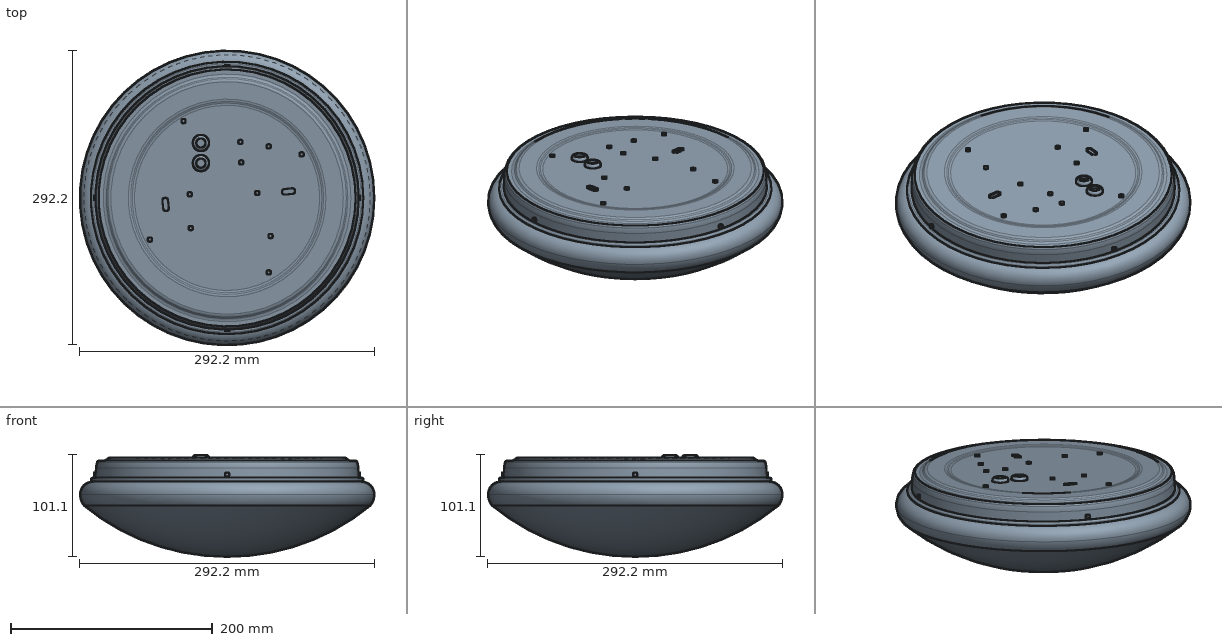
import cadquery as cq
import math


diffuser_top = 51.0
trim_widest = 61.7
base_level = 74.7
seal_height = 3.8
wall_bend_level = 88.1
wall_top = 93.5
rim_level = 95.4
land_level = 98.6
panel_level = 97.57

trim_radius = 146.09
trim_round = base_level - trim_widest
diffuser_radius = 142.0

wall_base_radius = 130.8
wall_bend_radius = 130.2
wall_top_radius = 129.2
rim_radius = 127.4

outer_step_radius = 119.0
outer_step_run = 3.05
outer_step_slope = 38.0
inner_step_radius = 94.9
inner_step_run = 2.3
inner_step_slope = 15.0

seal_radius = 135.1

stud_diameter = 4.4
stud_height = 1.0
stud_positions = [
    (-43.2, 76.2),
    (13.2, 55.5),
    (41.3, 51.1),
    (73.9, 43.2),
    (14.0, 35.2),
    (29.9, 4.9),
    (-37.0, 3.6),
    (-36.1, -29.9),
    (43.1, -37.8),
    (-76.6, -41.3),
    (41.3, -73.9),
]
side_stud_count = 4
side_stud_level = 81.6
side_stud_tip = 131.9
side_stud_root = 128.0

slot_length = 13.2
slot_width = 5.6
slot_depth = 1.0
slot_radius = 61.3
slot_bearing = 6.0

grommet_bore_radius = 4.6
grommet_height = 3.5
grommet_x = -26.0
grommet_ys = [54.5, 34.5]


def revolve_about_z(profile):
    """Spin a closed radius-height profile a full turn about Z."""
    return profile.close().revolve(360, (0, 0, 0), (0, 1, 0))


def pressed_step(profile, middle_radius, z_from, z_to, bend_run, slope):
    """Add a step going inwards: a bend, a straight sloping web and a bend back to level."""
    angle = math.radians(slope)
    direction = math.copysign(1, z_to - z_from)
    bend_rise = direction * bend_run * math.tan(angle / 2)
    web_rise = z_to - z_from - 2 * bend_rise
    half_web = abs(web_rise) / math.tan(angle) / 2
    return (
        profile.lineTo(middle_radius + half_web + bend_run, z_from)
        .tangentArcPoint((middle_radius + half_web, z_from + bend_rise), relative=False)
        .lineTo(middle_radius - half_web, z_to - bend_rise)
        .tangentArcPoint((middle_radius - half_web - bend_run, z_to), relative=False)
    )


def make_diffuser():
    """Shallow spherical cap with a flat top."""
    sphere_radius = (diffuser_radius**2 + diffuser_top**2) / (2 * diffuser_top)
    mid_angle = math.asin(diffuser_radius / sphere_radius) / 2
    arc_middle = (
        sphere_radius * math.sin(mid_angle),
        sphere_radius * (1 - math.cos(mid_angle)),
    )
    profile = (
        cq.Workplane("XZ")
        .moveTo(0, 0)
        .threePointArc(arc_middle, (diffuser_radius, diffuser_top))
        .lineTo(0, diffuser_top)
    )
    return revolve_about_z(profile)


def make_trim_ring():
    """Disc with a rounded rim: a quarter round above its widest level and an arc below."""
    profile = (
        cq.Workplane("XZ")
        .moveTo(0, base_level)
        .lineTo(trim_radius - trim_round, base_level)
        .tangentArcPoint((trim_radius, trim_widest), relative=False)
        .tangentArcPoint((diffuser_radius, diffuser_top), relative=False)
        .lineTo(0, diffuser_top)
    )
    return revolve_about_z(profile)


def wall_radius_at(z):
    """Radius of the conical part of the housing wall."""
    taper = (wall_base_radius - wall_bend_radius) / (wall_bend_level - base_level)
    return wall_base_radius - taper * (z - base_level)


def make_seal():
    """Ring around the foot of the housing with a half-round outer edge."""
    edge_round = seal_height / 2
    seal_top = base_level + seal_height
    profile = (
        cq.Workplane("XZ")
        .moveTo(wall_base_radius, base_level)
        .lineTo(wall_radius_at(seal_top), seal_top)
        .lineTo(seal_radius - edge_round, seal_top)
        .tangentArcPoint((seal_radius - edge_round, base_level), relative=False)
    )
    return revolve_about_z(profile)


def housing_body():
    """Conical tray with the rim, the raised land and the central panel on top."""
    profile = (
        cq.Workplane("XZ")
        .moveTo(0, base_level)
        .lineTo(wall_base_radius, base_level)
        .lineTo(wall_bend_radius, wall_bend_level)
        .tangentArcPoint((wall_top_radius, wall_top), relative=False)
        .tangentArcPoint((rim_radius, rim_level), relative=False)
    )
    profile = pressed_step(
        profile, outer_step_radius, rim_level, land_level, outer_step_run, outer_step_slope
    )
    profile = pressed_step(
        profile, inner_step_radius, land_level, panel_level, inner_step_run, inner_step_slope
    )
    return revolve_about_z(profile.lineTo(0, panel_level))


def panel_studs():
    return (
        cq.Workplane("XY", origin=(0, 0, panel_level))
        .pushPoints(stud_positions)
        .circle(stud_diameter / 2)
        .extrude(stud_height)
    )


def side_stud(bearing):
    """Short radial stud that starts inside the housing wall."""
    return (
        cq.Workplane("YZ", origin=(side_stud_root, 0, side_stud_level))
        .circle(stud_diameter / 2)
        .extrude(side_stud_tip - side_stud_root)
        .rotate((0, 0, 0), (0, 0, 1), bearing)
    )


def mounting_slot(bearing, turn):
    """Slot cutter at a bearing; turn is the angle of its length from the radial direction."""
    return (
        cq.Workplane("XY", origin=(slot_radius, 0, panel_level))
        .slot2D(slot_length, slot_width, turn)
        .extrude(-slot_depth)
        .rotate((0, 0, 0), (0, 0, 1), bearing)
    )


def make_housing():
    housing = housing_body().union(panel_studs())
    for index in range(side_stud_count):
        housing = housing.union(side_stud(index * 360 / side_stud_count))
    housing = housing.cut(mounting_slot(slot_bearing, 0))
    return housing.cut(mounting_slot(slot_bearing + 180, 90))


def make_grommet(y):
    """Ring standing on the panel, rounded from its foot to the edge of its bore."""
    profile = (
        cq.Workplane("XZ")
        .moveTo(grommet_bore_radius, 0)
        .lineTo(grommet_bore_radius + grommet_height, 0)
        .radiusArc((grommet_bore_radius, grommet_height), -grommet_height)
    )
    return revolve_about_z(profile).translate((grommet_x, y, panel_level))


diffuser = make_diffuser()
trim_ring = make_trim_ring()
seal = make_seal()
housing = make_housing()
grommets = [make_grommet(y) for y in grommet_ys]

result = cq.Compound.makeCompound([
    diffuser.val(),
    trim_ring.val(),
    seal.val(),
    *housing.solids().vals(),
    *[grommet.val() for grommet in grommets],
])